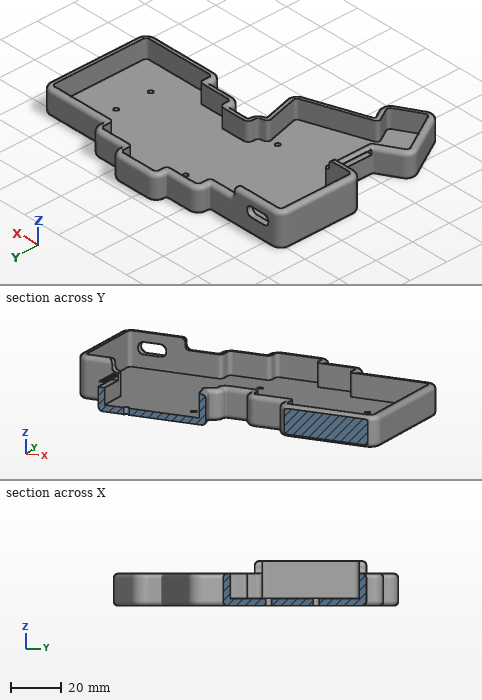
import cadquery as cq
import math

QUARTER_TURN = 90


WALL = 3.0
FLOOR = 3.0
LOW_HEIGHT = 13.0
TALL_HEIGHT = 17.99
RIM_RADIUS = 2.0
CORNER_RADIUS = 5.0
NOTCH_RADIUS = 0.4
CAVITY_RADIUS = 1.75
NOTCH_CAVITY_RADIUS = 2.5
PICK_MARGIN = 0.1

LENGTH = 140.1
COLUMN_PITCH = 18.15
COLUMN_DEPTH = 57.4
OUTER_STEP = 6.75
INNER_STEP = 5.95
LEFT_STEP_X = 41.3
RIGHT_STEP_X = 104.15
FRONT_RIGHT_X = 95.7

BAY_DEPTH = COLUMN_DEPTH - OUTER_STEP - INNER_STEP
SIDE_WALL_X = 16.2
SIDE_WALL_END_Y = -65.6
BAY_BACK_END_X = 28.0
BAY_SPLIT_Y = -20.0
BAY_BASE_Z = 6.0
BLEND_REACH = 2 * math.sqrt(2) * RIM_RADIUS

PAD_ANGLE = 30.0
PAD_WIDTH = 23.45
PAD_LENGTH = 33.03
SIDE_ANGLE = 15.0
NOTCH_LEFT_X = 66.85
THUMB_TOP = (62.5, -50.4)
THUMB_SIDE_LENGTH = 20.0
THUMB_FRONT_INNER = (32.85, -81.95)

SCREW_DIAMETER = 2.3
SCREW_CENTERS = [(63.9, -7.9), (117.9, -20.1), (117.9, -39.0), (55.2, -49.9), (28.8, -57.2)]
SIDE_SLOT_BOTTOM = 10.1
SIDE_SLOT_TOP = 12.2
SIDE_SLOT_BACK_Y = -45.3
SIDE_SLOT_FRONT_Y = -65.0
PORT_CENTER_X = 13.2
PORT_CENTER_Z = 11.3
PORT_LENGTH = 12.6
PORT_HEIGHT = 5.2


def shifted(point, angle, distance):
    """Point moved by a distance along a direction given in degrees."""
    a = math.radians(angle)
    return (point[0] + distance * math.cos(a), point[1] + distance * math.sin(a))


def outline_points():
    """Sharp corners as (turns inward, point) of the outer wall, clockwise from the back-left."""
    back_mid = OUTER_STEP
    back_top = OUTER_STEP + INNER_STEP
    front_right = -COLUMN_DEPTH
    front_mid = front_right + OUTER_STEP
    front_top = -BAY_DEPTH
    front_mid_x = FRONT_RIGHT_X - COLUMN_PITCH

    notch_foot_y = THUMB_TOP[1] + (NOTCH_LEFT_X - THUMB_TOP[0]) * math.tan(math.radians(SIDE_ANGLE))
    thumb_corner = shifted(THUMB_TOP, SIDE_ANGLE - QUARTER_TURN, THUMB_SIDE_LENGTH)

    a = math.radians(PAD_ANGLE)
    wall_end = (SIDE_WALL_X, SIDE_WALL_END_Y)
    across = ((THUMB_FRONT_INNER[0] - wall_end[0]) * math.cos(a)
              + (THUMB_FRONT_INNER[1] - wall_end[1]) * math.sin(a))
    pad_left = shifted(wall_end, PAD_ANGLE, across - PAD_WIDTH)
    pad_front = shifted(pad_left, PAD_ANGLE - QUARTER_TURN, PAD_LENGTH)
    pad_right = shifted(pad_front, PAD_ANGLE, PAD_WIDTH)

    return [
        (False, (0, 0)),
        (True, (LEFT_STEP_X, 0)),
        (False, (LEFT_STEP_X, back_mid)),
        (True, (LEFT_STEP_X + COLUMN_PITCH, back_mid)),
        (False, (LEFT_STEP_X + COLUMN_PITCH, back_top)),
        (False, (RIGHT_STEP_X - COLUMN_PITCH, back_top)),
        (True, (RIGHT_STEP_X - COLUMN_PITCH, back_mid)),
        (False, (RIGHT_STEP_X, back_mid)),
        (True, (RIGHT_STEP_X, 0)),
        (False, (LENGTH, 0)),
        (False, (LENGTH, front_right)),
        (False, (FRONT_RIGHT_X, front_right)),
        (True, (FRONT_RIGHT_X, front_mid)),
        (False, (front_mid_x, front_mid)),
        (True, (front_mid_x, front_top)),
        (True, (NOTCH_LEFT_X, front_top)),
        (False, (NOTCH_LEFT_X, notch_foot_y)),
        (True, THUMB_TOP),
        (False, thumb_corner),
        (True, THUMB_FRONT_INNER),
        (False, pad_right),
        (False, pad_front),
        (False, pad_left),
        (True, wall_end),
        (True, (SIDE_WALL_X, front_top)),
        (False, (0, front_top)),
    ]


def vertical_edge_box(point):
    """Selector for the vertical edge that stands on a point."""
    x, y = point
    return cq.selectors.BoxSelector(
        (x - PICK_MARGIN, y - PICK_MARGIN, 0),
        (x + PICK_MARGIN, y + PICK_MARGIN, 2 * TALL_HEIGHT),
    )


def round_corners(body, points, radius):
    """Round the vertical edges of a prism that stand on the given points."""
    for point in points:
        body = body.edges("|Z").edges(vertical_edge_box(point)).fillet(radius)
    return body


def make_low_body(corners):
    body = cq.Workplane("XY").polyline([p for _, p in corners]).close().extrude(LOW_HEIGHT)
    body = round_corners(body, [p for inward, p in corners if inward], NOTCH_RADIUS)
    body = round_corners(body, [p for inward, p in corners if not inward], CORNER_RADIUS)
    return body.faces("<Z or >Z").edges().fillet(RIM_RADIUS)


def make_bay():
    points = [
        (0, 0),
        (BAY_BACK_END_X, 0),
        (BAY_BACK_END_X, BAY_SPLIT_Y),
        (SIDE_WALL_X, BAY_SPLIT_Y),
        (SIDE_WALL_X, -BAY_DEPTH),
        (0, -BAY_DEPTH),
    ]
    bay = cq.Workplane("XY").workplane(offset=BAY_BASE_Z).polyline(points).close()
    bay = bay.extrude(TALL_HEIGHT - BAY_BASE_Z)
    bay = round_corners(bay, [(0, 0), (0, -BAY_DEPTH)], CORNER_RADIUS)
    bay = round_corners(bay, [(BAY_BACK_END_X, 0)], RIM_RADIUS)
    return bay.faces(">Z").edges().fillet(RIM_RADIUS)


def make_blend(end_x, section):
    """Concave quarter ring that leads from the bay's end face down to the low rim.

    The section gives (distance from the ring's axis, Y); the axis runs along Y.
    """
    axis_x = end_x + RIM_RADIUS
    axis_z = LOW_HEIGHT + RIM_RADIUS
    ring = section.close().revolve(QUARTER_TURN, (0, 0, 0), (0, 1, 0))
    return ring.rotate((0, 0, 0), (0, 1, 0), QUARTER_TURN).translate((axis_x, 0, axis_z))


def make_back_blend():
    """Blend on the back wall, with the rim rounding carried around it."""
    arc_mid = RIM_RADIUS * (1 - math.sqrt(0.5))
    section = (
        cq.Workplane("XY")
        .moveTo(BLEND_REACH, 0)
        .lineTo(2 * RIM_RADIUS, 0)
        .threePointArc((RIM_RADIUS + arc_mid, -arc_mid), (RIM_RADIUS, -RIM_RADIUS))
        .lineTo(RIM_RADIUS, -WALL)
        .lineTo(BLEND_REACH, -WALL)
    )
    return make_blend(BAY_BACK_END_X, section)


def make_front_blend():
    """Blend on the front wall, which ends against the side wall."""
    section = (
        cq.Workplane("XY")
        .moveTo(BLEND_REACH, -BAY_DEPTH)
        .lineTo(RIM_RADIUS, -BAY_DEPTH)
        .lineTo(RIM_RADIUS, WALL - BAY_DEPTH)
        .lineTo(BLEND_REACH, WALL - BAY_DEPTH)
    )
    return make_blend(SIDE_WALL_X, section)


def make_cavity(corners):
    outer = cq.Workplane("XY").workplane(offset=FLOOR).polyline([p for _, p in corners]).close()
    cavity = outer.offset2D(-WALL, "intersection").extrude(TALL_HEIGHT)

    notch_y = WALL - BAY_DEPTH
    notch_left = (NOTCH_LEFT_X - WALL, notch_y)
    notch_right = (FRONT_RIGHT_X - COLUMN_PITCH + WALL, notch_y)
    notch_edges = vertical_edge_box(notch_left) + vertical_edge_box(notch_right)
    vertical = cq.selectors.ParallelDirSelector(cq.Vector(0, 0, 1))
    cavity = cavity.edges(vertical - notch_edges).fillet(CAVITY_RADIUS)
    return round_corners(cavity, [notch_left, notch_right], NOTCH_CAVITY_RADIUS)


def make_side_slot():
    return cq.Workplane("XY").box(
        2 * WALL,
        SIDE_SLOT_BACK_Y - SIDE_SLOT_FRONT_Y,
        SIDE_SLOT_TOP - SIDE_SLOT_BOTTOM,
        centered=(True, False, False),
    ).translate((SIDE_WALL_X + WALL / 2, SIDE_SLOT_FRONT_Y, SIDE_SLOT_BOTTOM))


def make_port():
    port = cq.Workplane("XZ").center(PORT_CENTER_X, PORT_CENTER_Z).slot2D(PORT_LENGTH, PORT_HEIGHT)
    return port.extrude(2 * WALL, both=True)


def make_screw_holes():
    return cq.Workplane("XY").pushPoints(SCREW_CENTERS).circle(SCREW_DIAMETER / 2).extrude(2 * FLOOR)


corners = outline_points()
result = make_low_body(corners).union(make_bay())
result = result.union(make_back_blend()).union(make_front_blend())
for tool in (make_cavity(corners), make_side_slot(), make_port(), make_screw_holes()):
    result = result.cut(tool)